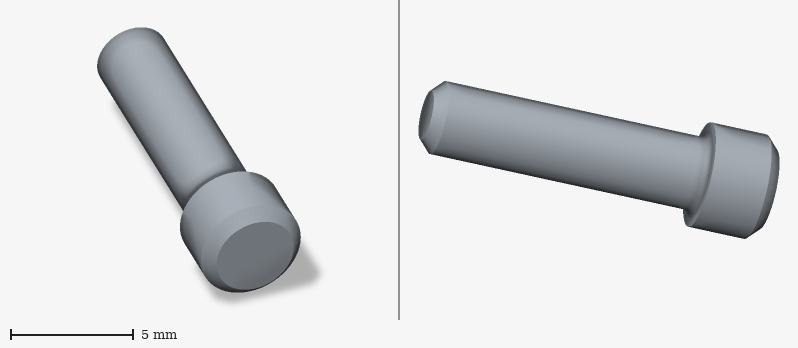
import cadquery as cq

total_length = 14.6
head_length = 2.89
head_diameter = 4.37
shank_diameter = 3.05
end_chamfer = 0.5
neck_fillet = 0.3

head_radius = head_diameter / 2
shank_radius = shank_diameter / 2
shank_length = total_length - head_length

shank = cq.Workplane("YZ").circle(shank_radius).extrude(shank_length)
head = cq.Workplane("YZ").workplane(offset=shank_length).circle(head_radius).extrude(head_length)

shank = shank.faces("<X").edges().chamfer(end_chamfer)
head = head.faces(">X").edges().chamfer(end_chamfer)

neck_corner = cq.selectors.RadiusNthSelector(0)
under_head = cq.selectors.BoxSelector(
    (shank_length - neck_fillet, -head_radius, -head_radius),
    (shank_length + neck_fillet, head_radius, head_radius),
)
pin = shank.union(head)
result = pin.edges("%CIRCLE").edges(under_head).edges(neck_corner).fillet(neck_fillet)